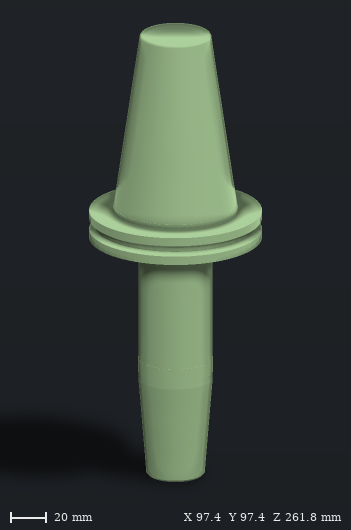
import cadquery as cq
import math

total_height = 261.8

taper_length = 101.8
gauge_radius = 34.8
taper_slope = 7 / 48
taper_tip_fillet = 2.0

neck_radius = 35.0
foot_fillet = 1.0

flange_radius = 48.7
flange_gap = 3.1
flange_thickness = 16.0
groove_floor_radius = 45.5
groove_floor_width = 2.5
groove_center_depth = 7.9
groove_wall_angle = 30.0

shank_radius = 21.0
band_relief = 0.13
shank_fillet = 9.7
band_top = 69.0
band_bottom = 61.0
nose_cone_top = 57.0
nose_tip_radius = 16.5
nose_chamfer = 1.3

gauge_height = total_height - taper_length
flange_top = gauge_height - flange_gap
flange_bottom = flange_top - flange_thickness


def revolve_profile(points):
    """Revolve a closed (radius, height) outline about the Z axis."""
    return cq.Workplane("XZ").polyline(points).close().revolve(360, (0, 0, 0), (0, 1, 0))


def make_taper():
    tip_radius = gauge_radius - taper_slope * taper_length
    foot_offset = foot_fillet * (1 - math.sqrt(0.5))
    taper = (
        cq.Workplane("XZ")
        .moveTo(0, flange_top)
        .lineTo(neck_radius + foot_fillet, flange_top)
        .threePointArc(
            (neck_radius + foot_offset, flange_top + foot_offset),
            (neck_radius, flange_top + foot_fillet),
        )
        .lineTo(neck_radius, gauge_height)
        .lineTo(gauge_radius, gauge_height)
        .lineTo(tip_radius, total_height)
        .lineTo(0, total_height)
        .close()
        .revolve(360, (0, 0, 0), (0, 1, 0))
    )
    return taper.faces(">Z").edges().fillet(taper_tip_fillet)


def make_flange():
    groove_height = flange_top - groove_center_depth
    half_floor = groove_floor_width / 2
    wall_rise = (flange_radius - groove_floor_radius) * math.tan(math.radians(groove_wall_angle))
    half_mouth = half_floor + wall_rise
    return revolve_profile([
        (0, flange_bottom),
        (flange_radius, flange_bottom),
        (flange_radius, groove_height - half_mouth),
        (groove_floor_radius, groove_height - half_floor),
        (groove_floor_radius, groove_height + half_floor),
        (flange_radius, groove_height + half_mouth),
        (flange_radius, flange_top),
        (0, flange_top),
    ])


def make_shank():
    fillet_start = flange_bottom - shank_fillet
    fillet_offset = shank_fillet * (1 - math.sqrt(0.5))
    return (
        cq.Workplane("XZ")
        .moveTo(0, 0)
        .lineTo(nose_tip_radius - nose_chamfer, 0)
        .lineTo(nose_tip_radius, nose_chamfer)
        .lineTo(shank_radius, nose_cone_top)
        .lineTo(shank_radius, band_bottom)
        .lineTo(shank_radius + band_relief, band_bottom)
        .lineTo(shank_radius + band_relief, band_top)
        .lineTo(shank_radius, band_top)
        .lineTo(shank_radius, fillet_start)
        .threePointArc(
            (shank_radius + fillet_offset, flange_bottom - fillet_offset),
            (shank_radius + shank_fillet, flange_bottom),
        )
        .lineTo(0, flange_bottom)
        .close()
        .revolve(360, (0, 0, 0), (0, 1, 0))
    )


result = make_shank().union(make_flange()).union(make_taper())